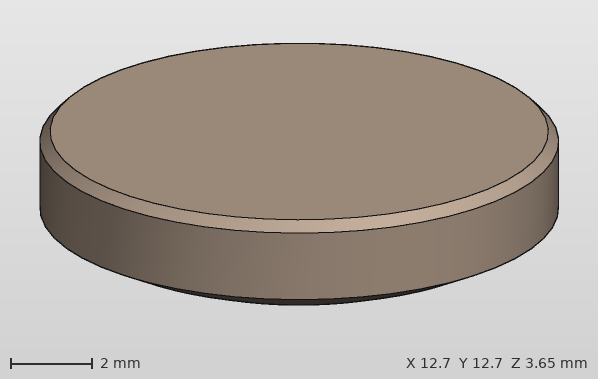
import cadquery as cq

diameter = 12.7
total_height = 3.65
rim_height = 2.0
chamfer_size = 0.25

radius = diameter / 2
dome_height = total_height - rim_height
sphere_radius = (radius**2 + dome_height**2) / (2 * dome_height)

arc_mid_x = radius / 2
arc_mid_z = sphere_radius - (sphere_radius**2 - arc_mid_x**2) ** 0.5

half_section = (
    cq.Workplane("XZ")
    .moveTo(0, 0)
    .threePointArc((arc_mid_x, arc_mid_z), (radius, dome_height))
    .lineTo(radius, total_height - chamfer_size)
    .lineTo(radius - chamfer_size, total_height)
    .lineTo(0, total_height)
    .close()
)

result = half_section.revolve(360, (0, 0, 0), (0, 1, 0))